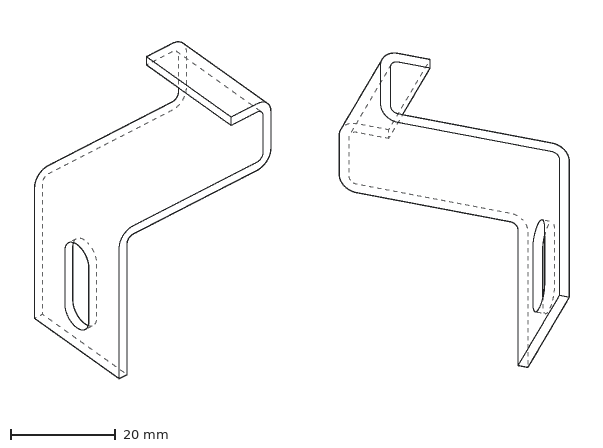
import cadquery as cq

width = 25.0
depth = 38.0
height = 49.0

thickness = 2.0
inner_radius = 1.5
outer_radius = inner_radius + thickness

hook_height = 16.0
lip_length = 10.0

slot_width = 7.0
slot_length = 20.0
slot_bottom = 5.0

shelf_bottom = height - hook_height
shelf_top = shelf_bottom + thickness
lip_bottom = height - thickness
hook_inside = depth - thickness
lip_end = depth - lip_length

front_outer = (0, shelf_top)
front_inner = (thickness, shelf_bottom)
lower_outer = (depth, shelf_bottom)
lower_inner = (hook_inside, shelf_top)
upper_outer = (depth, height)
upper_inner = (hook_inside, lip_bottom)


def round_corners(body, corners, radius):
    """Round the bend edges, parallel to X, that pass through the given corners."""
    for y, z in corners:
        body = body.edges(cq.NearestToPointSelector((0, y, z))).fillet(radius)
    return body


def bent_strip():
    """Flange, shelf and hook as one sheet of constant thickness."""
    outline = [
        (0, 0),
        front_outer,
        lower_inner,
        upper_inner,
        (lip_end, lip_bottom),
        (lip_end, height),
        upper_outer,
        lower_outer,
        front_inner,
        (thickness, 0),
    ]
    strip = cq.Workplane("YZ").polyline(outline).close().extrude(width / 2, both=True)
    strip = round_corners(strip, [front_inner, lower_inner, upper_inner], inner_radius)
    return round_corners(strip, [front_outer, lower_outer, upper_outer], outer_radius)


def flange_slot():
    """Upright round-ended cutter that passes through the front flange."""
    slot_center = slot_bottom + slot_length / 2
    return (
        cq.Workplane("XZ")
        .center(0, slot_center)
        .slot2D(slot_length, slot_width, angle=90)
        .extrude(thickness, both=True)
    )


result = bent_strip().cut(flange_slot())